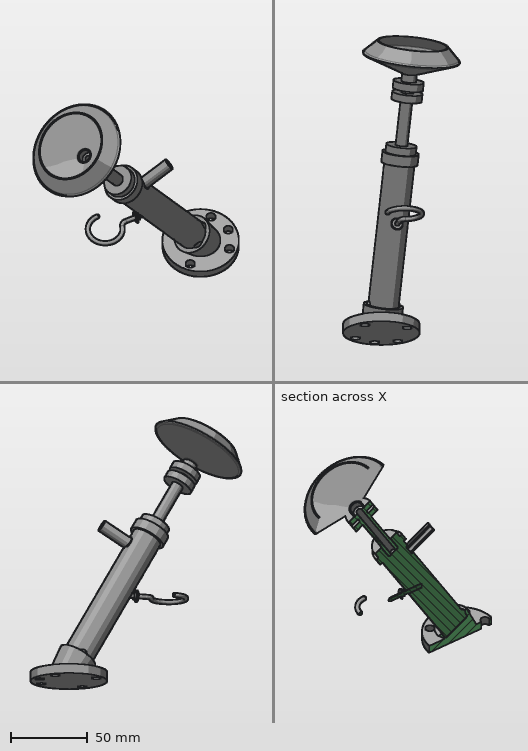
import cadquery as cq
import math

plate_diameter = 50.0
plate_height = 6.1
mount_hole_diameter = 6.1
mount_circle_radius = 20.0
mount_hole_angles = [-45, 45, 90, 135, 225]

lean_angle = 30

socket_diameter = 26.0
socket_length = 12.6
tube_seat = 6.3

tube_diameter = 20.0
nub_radius = 4.0
nub_center_radius = 7.0
nub_angles = [0, 90, 180]
collar_diameter = 24.0
collar_start = 107.7
collar_height = 7.0
boss_height = 5.0

port_diameter = 8.0
port_bore = 4.0
port_height = 97.3
port_reach = 29.9
port_recess_diameter = 9.0
port_recess_floor = 8.6

rod_diameter = 8.0
rod_bore = 4.0
flange_diameter = 20.0
flange_thickness = 5.0
flange_start = 149.9
flange_spacing = 7.5

neck_diameter = 9.7
neck_bore = 8.0
neck_length = 5.0
dish_diameter = 64.0
dish_edge_height = 11.2
dish_inner_edge_height = 11.3
dish_edge_rounding = 0.9
dish_inner_rounding = 1.5
dish_height = 20.0
dish_lip_radius = 23.2
dish_wall = 0.9
mouth_radius = 5.2

hook_height = 60.0
hook_wire = 3.0
hook_loop_radius = 11.3
hook_loop_y = -68.8
hook_bend_y = -54.0
hook_washer_diameter = 8.0
hook_washer_y = -46.1
hook_washer_thickness = 1.0
hook_washer_chamfer = 0.45
hook_shoulder_diameter = 4.7
hook_shoulder_y = -44.7
hook_tip_length = 0.9
hook_tip_taper = 40

lean = math.radians(lean_angle)
column = cq.Plane(
    origin=(0, 0, plate_height),
    xDir=(1, 0, 0),
    normal=(0, -math.sin(lean), math.cos(lean)),
)
column_place = cq.Location(column)

collar_end = collar_start + collar_height
tube_top = collar_end + boss_height
flange_starts = [flange_start, flange_start + flange_spacing]
rod_top = flange_starts[-1] + flange_thickness


def cylinder(diameter, start, end):
    """Upright cylinder on the Z axis between two heights."""
    return cq.Workplane("XY").workplane(offset=start).circle(diameter / 2).extrude(end - start)


def radial_cylinder(diameter, start, end):
    """Cylinder through the port's centre, between two distances from the column axis."""
    plane = cq.Workplane("XZ", origin=(0, start, port_height))
    return plane.circle(diameter / 2).extrude(start - end)


def make_tube(hook):
    tube = cylinder(tube_diameter, tube_seat, tube_top)
    tube = tube.union(cylinder(collar_diameter, collar_start, collar_end))
    for angle in nub_angles:
        nub = cq.Workplane("XY").sphere(nub_radius).translate((nub_center_radius, 0, socket_length))
        tube = tube.union(nub.rotate((0, 0, 0), (0, 0, 1), angle))
    tube = tube.cut(cylinder(rod_diameter, collar_start, tube_top))
    tube = tube.cut(radial_cylinder(port_recess_diameter, port_recess_floor, port_reach))
    leaning_tube = cq.Workplane(tube.val().moved(column_place))
    return leaning_tube.cut(cq.Workplane(hook)).solids().val()


def make_port():
    port = radial_cylinder(port_diameter, port_recess_floor, port_reach)
    port = port.cut(radial_cylinder(port_bore, port_recess_floor, port_reach))
    return port.solids().val().moved(column_place)


def make_rod():
    rod = cylinder(rod_diameter, collar_start, rod_top)
    for start in flange_starts:
        rod = rod.union(cylinder(flange_diameter, start, start + flange_thickness))
    rod = rod.cut(cylinder(rod_bore, collar_start, rod_top))
    return rod.solids().val().moved(column_place)


def tangent_point(point, center, radius, side):
    """Where a line from the point touches the circle, on its left (1) or right (-1) side."""
    run = center[0] - point[0]
    rise = center[1] - point[1]
    distance = math.hypot(run, rise)
    angle = math.atan2(rise, run) + side * math.asin(radius / distance)
    length = math.sqrt(distance**2 - radius**2)
    return (point[0] + length * math.cos(angle), point[1] + length * math.sin(angle))


def make_dish():
    """Neck, cone, rounded edge and inward flare, revolved as one thin-walled profile."""
    outer_tip = (dish_diameter / 2, neck_length + dish_edge_height)
    inner_tip = (dish_diameter / 2 - dish_wall, neck_length + dish_inner_edge_height)
    outer_center = (outer_tip[0] - dish_edge_rounding, outer_tip[1])
    inner_center = (inner_tip[0] - dish_inner_rounding, inner_tip[1])
    neck_end = (neck_diameter / 2, neck_length)
    lip_outside = (dish_lip_radius, neck_length + dish_height)
    lip_inside = (dish_lip_radius - dish_wall, neck_length + dish_height)
    mouth = (mouth_radius, neck_length + dish_wall)

    profile = (
        cq.Workplane("XZ")
        .moveTo(neck_bore / 2, 0)
        .lineTo(neck_diameter / 2, 0)
        .lineTo(*neck_end)
        .lineTo(*tangent_point(neck_end, outer_center, dish_edge_rounding, -1))
        .tangentArcPoint(outer_tip, relative=False)
        .lineTo(*lip_outside)
        .lineTo(*lip_inside)
        .lineTo(*tangent_point(lip_inside, inner_center, dish_inner_rounding, 1))
        .threePointArc(inner_tip, tangent_point(mouth, inner_center, dish_inner_rounding, -1))
        .lineTo(*mouth)
        .lineTo(neck_bore / 2, neck_length)
        .close()
    )
    dish = profile.revolve(360, (0, 0), (0, 1))
    return dish.translate((0, 0, rod_top)).solids().val().moved(column_place)


def hook_disc(diameter, y, thickness):
    """Disc around the hook's stem, from y toward -Y."""
    return cq.Workplane("XZ", origin=(0, y, hook_height)).circle(diameter / 2).extrude(thickness)


def make_hook():
    """Straight stem, a small bend, then a loop with a tapered tip."""
    stem_y = -(hook_height - plate_height) * math.tan(lean)
    center_gap = hook_bend_y - hook_loop_y
    bend_radius = (center_gap**2 - hook_loop_radius**2) / (2 * hook_loop_radius)
    loop_start_angle = math.atan2(center_gap, bend_radius)
    bend_middle_angle = math.pi + loop_start_angle / 2

    def loop_point(angle):
        return (hook_loop_radius * math.cos(angle), hook_loop_y + hook_loop_radius * math.sin(angle))

    bend_middle = (
        bend_radius * (1 + math.cos(bend_middle_angle)),
        hook_bend_y + bend_radius * math.sin(bend_middle_angle),
    )
    path = (
        cq.Workplane("XY", origin=(0, 0, hook_height))
        .moveTo(0, stem_y)
        .lineTo(0, hook_bend_y)
        .threePointArc(bend_middle, loop_point(loop_start_angle))
        .threePointArc(loop_point(-math.pi / 4), loop_point(-math.pi))
    )
    wire_section = cq.Workplane("XZ", origin=(0, stem_y, hook_height)).circle(hook_wire / 2)
    hook = wire_section.sweep(path)
    tip_plane = cq.Workplane("XZ", origin=(-hook_loop_radius, hook_loop_y, hook_height))
    tip = tip_plane.circle(hook_wire / 2).extrude(-hook_tip_length, taper=hook_tip_taper)
    hook = hook.union(tip)
    washer = hook_disc(hook_washer_diameter, hook_washer_y, hook_washer_thickness)
    hook = hook.union(washer.edges().chamfer(hook_washer_chamfer))
    shoulder_length = hook_shoulder_y - hook_washer_y
    hook = hook.union(hook_disc(hook_shoulder_diameter, hook_shoulder_y, shoulder_length))
    return hook.solids().val()


def make_base(tube):
    """Drilled plate with a socket that blends from the level plate to the leaning column."""
    plate = cylinder(plate_diameter, 0, plate_height)
    for angle in mount_hole_angles:
        x = mount_circle_radius * math.cos(math.radians(angle))
        y = mount_circle_radius * math.sin(math.radians(angle))
        plate = plate.cut(cylinder(mount_hole_diameter, 0, plate_height).translate((x, y, 0)))
    foot = cq.Wire.makeCircle(socket_diameter / 2, cq.Vector(0, 0, plate_height), cq.Vector(0, 0, 1))
    rim = cq.Wire.makeCircle(socket_diameter / 2, cq.Vector(0, 0, socket_length), cq.Vector(0, 0, 1))
    socket = cq.Solid.makeLoft([foot, rim.moved(column_place)], True)
    return plate.union(cq.Workplane(socket)).cut(cq.Workplane(tube)).solids().val()


hook = make_hook()
tube = make_tube(hook)
base = make_base(tube)
port = make_port()
rod = make_rod()
dish = make_dish()

result = cq.Compound.makeCompound([base, tube, port, rod, dish, hook])